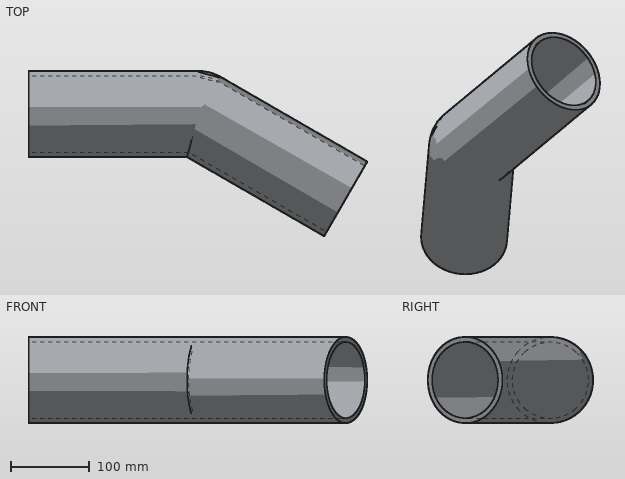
import cadquery as cq
import math

outer_diameter = 110.0
wall = 6.5
bend_angle = 30.0
overall_length = 431.5

outer_radius = outer_diameter / 2
bore_radius = outer_radius - wall
bend = math.radians(bend_angle)
leg_length = (overall_length - outer_radius * math.sin(bend)) / (1 + math.cos(bend))

bend_point = cq.Vector(leg_length, 0, 0)
inlet_direction = cq.Vector(-1, 0, 0)
outlet_direction = cq.Vector(math.cos(bend), -math.sin(bend), 0)


def bent_rod(radius):
    """Two solid cylinders joined by a sphere at the bend point."""
    inlet = cq.Solid.makeCylinder(radius, leg_length, bend_point, inlet_direction)
    outlet = cq.Solid.makeCylinder(radius, leg_length, bend_point, outlet_direction)
    corner = cq.Workplane("XY").sphere(radius).translate(bend_point)
    return corner.union(cq.Workplane(inlet)).union(cq.Workplane(outlet))


result = bent_rod(outer_radius).cut(bent_rod(bore_radius))